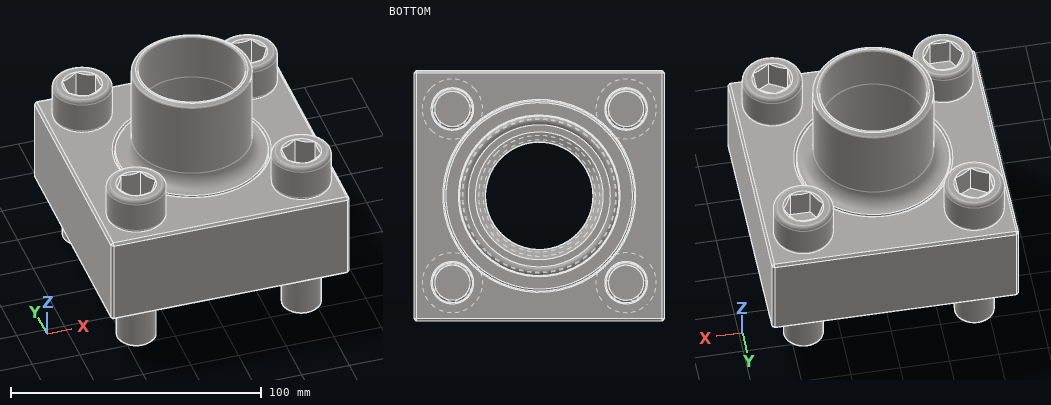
import cadquery as cq
import math


flange_side = 100.0
flange_height = 38.0
flange_edge_chamfer = 1.0
throat_diameter = 61.5
throat_chamfer = 1.0
recess_diameter = 77.0

screw_circle = 98.0
screw_count = 4
first_screw_angle = 225.0
screw_diameter = 16.0
screw_length = 60.0
screw_tip_chamfer = 1.0
screw_hole_diameter = 17.0
head_diameter = 24.0
head_height = screw_diameter
head_fillet = 1.6
hex_sides = 6
hex_across_flats = 14.0
hex_depth = 12.0
hex_mouth_diameter = 16.2
hex_mouth_angle = 30.0

pipe_rise = 40.0
pipe_diameter = 48.3
pipe_bore = 42.8
pipe_bore_depth = 20.0
inlet_bore = 51.0
bevel_land = 1.0
bevel_angle = 30.0
rim_fillet = 0.3
collar_diameter = 61.0
foot_diameter = 76.0
foot_height = 20.0
foot_protrusion = 2.0
foot_chamfer = 0.8

ring_inner_diameter = 56.7
ring_section = 3.5
ring_protrusion = 0.8
groove_outer_diameter = 64.5

flange_top = screw_length
flange_bottom = flange_top - flange_height
nipple_top = flange_top + pipe_rise
nipple_bottom = flange_bottom - foot_protrusion
foot_top = nipple_bottom + foot_height
groove_depth = ring_section - ring_protrusion
ring_centre_radius = (ring_inner_diameter + ring_section) / 2
ring_centre_level = nipple_bottom + groove_depth - ring_section / 2


def cylinder(diameter, bottom, top):
    """Upright cylinder on the Z axis between two levels."""
    return cq.Workplane("XY").workplane(offset=bottom).circle(diameter / 2).extrude(top - bottom)


def make_flange():
    """Chamfered square block with a stepped throat and the screw holes."""
    block = (
        cq.Workplane("XY")
        .workplane(offset=flange_bottom)
        .rect(flange_side, flange_side)
        .extrude(flange_height)
        .edges()
        .chamfer(flange_edge_chamfer)
    )
    throat_radius = throat_diameter / 2
    recess_radius = recess_diameter / 2
    throat = (
        cq.Workplane("XZ")
        .moveTo(0, flange_bottom)
        .lineTo(recess_radius, flange_bottom)
        .lineTo(recess_radius, foot_top)
        .lineTo(throat_radius, foot_top)
        .lineTo(throat_radius, flange_top - throat_chamfer)
        .lineTo(throat_radius + throat_chamfer, flange_top)
        .lineTo(0, flange_top)
        .close()
        .revolve(360, (0, 0), (0, 1))
    )
    screw_holes = (
        cq.Workplane("XY")
        .workplane(offset=flange_bottom)
        .polarArray(screw_circle / 2, first_screw_angle, 360, screw_count)
        .circle(screw_hole_diameter / 2)
        .extrude(flange_height)
    )
    return block.cut(throat).cut(screw_holes)


def make_nipple():
    """Bevelled pipe that flares into a collar and ends in a wide foot with a ring groove."""
    pipe_radius = pipe_diameter / 2
    bore_radius = pipe_bore / 2
    collar_radius = collar_diameter / 2
    foot_radius = foot_diameter / 2
    flare_radius = collar_radius - pipe_radius
    flare_corner = flare_radius * (1 - math.sqrt(0.5))
    land_radius = bore_radius + bevel_land
    bevel_bottom = nipple_top - (pipe_radius - land_radius) * math.tan(math.radians(bevel_angle))
    body = (
        cq.Workplane("XZ")
        .moveTo(inlet_bore / 2, nipple_bottom)
        .lineTo(foot_radius - foot_chamfer, nipple_bottom)
        .lineTo(foot_radius, nipple_bottom + foot_chamfer)
        .lineTo(foot_radius, foot_top)
        .lineTo(collar_radius, foot_top)
        .lineTo(collar_radius, flange_top)
        .threePointArc(
            (pipe_radius + flare_corner, flange_top + flare_corner),
            (pipe_radius, flange_top + flare_radius),
        )
        .lineTo(pipe_radius, bevel_bottom)
        .lineTo(land_radius, nipple_top)
        .lineTo(bore_radius, nipple_top)
        .lineTo(bore_radius, nipple_top - pipe_bore_depth)
        .close()
        .revolve(360, (0, 0), (0, 1))
    )
    groove_top = nipple_bottom + groove_depth
    groove = cylinder(groove_outer_diameter, nipple_bottom, groove_top).cut(
        cylinder(ring_inner_diameter, nipple_bottom, groove_top)
    )
    bevel_edge = cq.selectors.BoxSelector(
        (-pipe_radius, -pipe_radius, bevel_bottom - rim_fillet),
        (pipe_radius, pipe_radius, bevel_bottom + rim_fillet),
    )
    bore_edge = cq.selectors.RadiusNthSelector(0)
    body = body.edges(bevel_edge).fillet(rim_fillet)
    body = body.faces(">Z").edges(bore_edge).fillet(rim_fillet)
    return body.cut(groove)


def make_ring():
    """O-ring seated in the groove and standing slightly proud of the foot."""
    return (
        cq.Workplane("XZ")
        .moveTo(ring_centre_radius, ring_centre_level)
        .circle(ring_section / 2)
        .revolve(360, (0, 0, 0), (0, 1, 0))
    )


def make_screw():
    """Socket head screw on the Z axis, with two socket corners on the X axis."""
    head_top = flange_top + head_height
    head = cylinder(head_diameter, flange_top, head_top).edges().fillet(head_fillet)
    shank = cylinder(screw_diameter, 0, flange_top).faces("<Z").edges().chamfer(screw_tip_chamfer)
    screw = head.union(shank)
    hex_corner_diameter = hex_across_flats / math.cos(math.pi / hex_sides)
    socket = (
        cq.Workplane("XY")
        .workplane(offset=head_top - hex_depth)
        .polygon(hex_sides, hex_corner_diameter)
        .extrude(hex_depth)
    )
    mouth_radius = hex_mouth_diameter / 2
    mouth_depth = mouth_radius * math.tan(math.radians(hex_mouth_angle))
    mouth = (
        cq.Workplane("XZ")
        .moveTo(0, head_top)
        .lineTo(mouth_radius, head_top)
        .lineTo(0, head_top - mouth_depth)
        .close()
        .revolve(360, (0, 0), (0, 1))
    )
    return screw.cut(socket).cut(mouth)


def make_screws():
    """Screws on the bolt circle, each turned with its position around the Z axis."""
    angle = math.radians(first_screw_angle)
    radius = screw_circle / 2
    first_screw = make_screw().translate((radius * math.cos(angle), radius * math.sin(angle), 0))
    step = 360 / screw_count
    return [first_screw.rotate((0, 0, 0), (0, 0, 1), step * i) for i in range(screw_count)]


flange = make_flange()
nipple = make_nipple()
ring = make_ring()
screws = make_screws()

result = cq.Compound.makeCompound(
    [flange.val(), nipple.val(), ring.val(), *[screw.val() for screw in screws]]
)